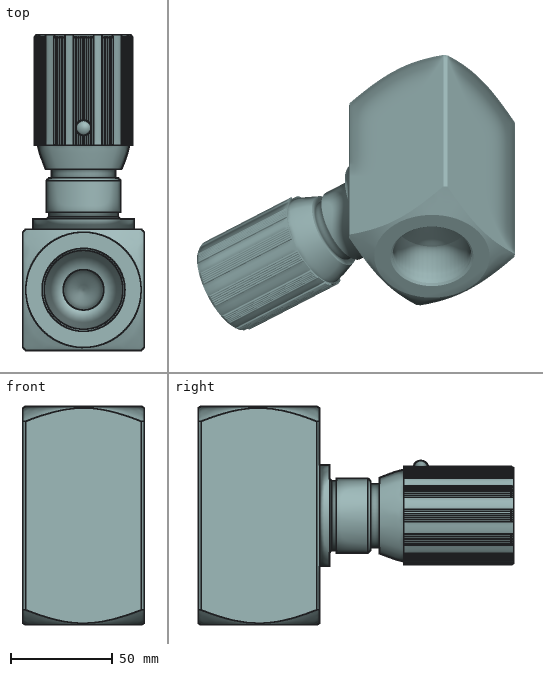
import cadquery as cq
import math

block_width = 60.0
block_height = 108.0
block_edge_chamfer = 1.5
end_face_diameter = 57.0
end_chamfer_angle = 30.0

port_diameter = 38.95
port_mouth_diameter = 41.0
port_depth = 27.0
passage_diameter = 20.0
passage_depth = 40.0
drill_point_angle = 118.0

flange_diameter = 50.2
flange_thickness = 5.0
neck_diameter = 34.5
neck_root_diameter = 36.5
neck_root_length = 1.0
neck_length = 3.3
nut_diameter = 37.0
nut_length = 17.0
nut_chamfer = 1.4
spindle_diameter = 31.7
spindle_length = 4.2
skirt_small_diameter = 37.5
skirt_large_diameter = 45.5
skirt_bulge = 0.4
skirt_length = 12.0
overall_length = 156.0

knob_core_diameter = 46.8
knob_root_diameter = 48.0
knob_tip_diameter = 48.7
band_count = 12
band_angle = 15.0
teeth_per_band = 6
top_band_angle = 24.5
teeth_in_top_band = 11
tooth_end_bevel = 1.6
bevel_foot_clearance = 0.05
tip_clearance = 0.05

pip_diameter = 7.5
pip_centre_height = 23.5
pip_from_knob_base = 8.5

half_width = block_width / 2
half_height = block_height / 2
flange_end = half_width + flange_thickness
neck_end = flange_end + neck_length
nut_end = neck_end + nut_length
spindle_end = nut_end + spindle_length
skirt_end = spindle_end + skirt_length
knob_end = overall_length - half_width
knob_core_radius = knob_core_diameter / 2
knob_root_radius = knob_root_diameter / 2
knob_tip_radius = knob_tip_diameter / 2


def make_block():
    """Square bar with chamfered long edges and a conical chamfer turned on both ends."""
    bar = cq.Workplane("XY").box(block_width, block_width, block_height)
    bar = bar.edges("|Z").chamfer(block_edge_chamfer)
    face_radius = end_face_diameter / 2
    outer_radius = block_width / math.sqrt(2)
    drop = (outer_radius - face_radius) * math.tan(math.radians(end_chamfer_angle))
    turned_envelope = (
        cq.Workplane("XZ")
        .moveTo(0, -half_height)
        .lineTo(face_radius, -half_height)
        .lineTo(outer_radius, drop - half_height)
        .lineTo(outer_radius, half_height - drop)
        .lineTo(face_radius, half_height)
        .lineTo(0, half_height)
        .close()
        .revolve(360, (0, 0), (0, 1))
    )
    return bar.intersect(turned_envelope)


def make_port():
    """Cutter for the top port: chamfered bore, drill cone, and a blind passage below it."""
    port_radius = port_diameter / 2
    mouth_radius = port_mouth_diameter / 2
    passage_radius = passage_diameter / 2
    cone_slope = 1 / math.tan(math.radians(drill_point_angle / 2))
    mouth_chamfer = mouth_radius - port_radius
    bore_floor = half_height - port_depth
    cone_floor = bore_floor - (port_radius - passage_radius) * cone_slope
    passage_floor = half_height - passage_depth
    passage_tip = passage_floor - passage_radius * cone_slope
    return (
        cq.Workplane("XZ")
        .moveTo(0, half_height)
        .lineTo(mouth_radius, half_height)
        .lineTo(port_radius, half_height - mouth_chamfer)
        .lineTo(port_radius, bore_floor)
        .lineTo(passage_radius, cone_floor)
        .lineTo(passage_radius, passage_floor)
        .lineTo(0, passage_tip)
        .close()
        .revolve(360, (0, 0), (0, 1))
    )


def make_stem():
    """Turned flange, neck, nut, spindle, bulged skirt and smooth knob core in one profile."""
    skirt_small_radius = skirt_small_diameter / 2
    skirt_large_radius = skirt_large_diameter / 2
    skirt_mid_radius = (skirt_small_radius + skirt_large_radius) / 2 + skirt_bulge
    skirt_middle = (spindle_end + skirt_end) / 2
    return (
        cq.Workplane("XY")
        .lineTo(flange_diameter / 2, 0)
        .lineTo(flange_diameter / 2, flange_end)
        .lineTo(neck_root_diameter / 2, flange_end)
        .lineTo(neck_diameter / 2, flange_end + neck_root_length)
        .lineTo(neck_diameter / 2, neck_end)
        .lineTo(nut_diameter / 2, neck_end)
        .lineTo(nut_diameter / 2, nut_end - nut_chamfer)
        .lineTo(nut_diameter / 2 - nut_chamfer, nut_end)
        .lineTo(spindle_diameter / 2, nut_end)
        .lineTo(spindle_diameter / 2, spindle_end)
        .lineTo(skirt_small_radius, spindle_end)
        .threePointArc((skirt_mid_radius, skirt_middle), (skirt_large_radius, skirt_end))
        .lineTo(knob_core_radius, skirt_end)
        .lineTo(knob_core_radius, knob_end)
        .lineTo(0, knob_end)
        .close()
        .revolve(360, (0, 0), (0, 1))
    )


def knob_point(radius, angle):
    """Point on the knob cross-section; the angle in degrees is measured from +Z."""
    turn = math.radians(angle)
    return (radius * math.sin(turn), radius * math.cos(turn))


def knob_section():
    """Closed knob cross-section: rounded teeth in each band, arcs along the smooth strips."""
    band_pitch = 360 / band_count
    section = cq.Workplane("XZ", origin=(0, skirt_end, 0))
    section = section.moveTo(*knob_point(knob_core_radius, -top_band_angle / 2))
    for band in range(band_count):
        centre = band * band_pitch
        width = top_band_angle if band == 0 else band_angle
        teeth = teeth_in_top_band if band == 0 else teeth_per_band
        next_width = top_band_angle if band == band_count - 1 else band_angle
        tooth_pitch = width / teeth
        start = centre - width / 2
        section = section.lineTo(*knob_point(knob_root_radius, start))
        for tooth in range(teeth):
            tip_angle = start + (tooth + 0.5) * tooth_pitch
            section = section.threePointArc(
                knob_point(knob_tip_radius, tip_angle),
                knob_point(knob_root_radius, tip_angle + tooth_pitch / 2),
            )
        strip_start = centre + width / 2
        section = section.lineTo(*knob_point(knob_core_radius, strip_start))
        strip_end = centre + band_pitch - next_width / 2
        section = section.threePointArc(
            knob_point(knob_core_radius, (strip_start + strip_end) / 2),
            knob_point(knob_core_radius, strip_end),
        )
    return section.close()


def make_toothed_grip():
    """Toothed grip of the knob, with the outer ends of the teeth bevelled."""
    grip = knob_section().extrude(-(knob_end - skirt_end))
    bevel_foot_radius = knob_core_radius + bevel_foot_clearance
    bevel_start = knob_end - tooth_end_bevel
    bevel_envelope = (
        cq.Workplane("XY")
        .moveTo(0, skirt_end)
        .lineTo(knob_tip_radius + tip_clearance, skirt_end)
        .lineTo(knob_tip_radius + tip_clearance, bevel_start)
        .lineTo(bevel_foot_radius, knob_end)
        .lineTo(0, knob_end)
        .close()
        .revolve(360, (0, 0), (0, 1))
    )
    return grip.intersect(bevel_envelope)


def make_pip():
    """Marker ball on the top of the knob."""
    centre = (0, skirt_end + pip_from_knob_base, pip_centre_height)
    return cq.Workplane("XY").sphere(pip_diameter / 2).translate(centre)


top_port = make_port()
bottom_port = top_port.mirror("XY")
block = make_block().cut(top_port).cut(bottom_port)

outside_block = cq.Workplane("XY").box(block_width, overall_length, block_height)
outside_block = outside_block.translate((0, half_width + overall_length / 2, 0))
stem = make_stem().intersect(outside_block)

result = block.union(stem).union(make_toothed_grip()).union(make_pip())